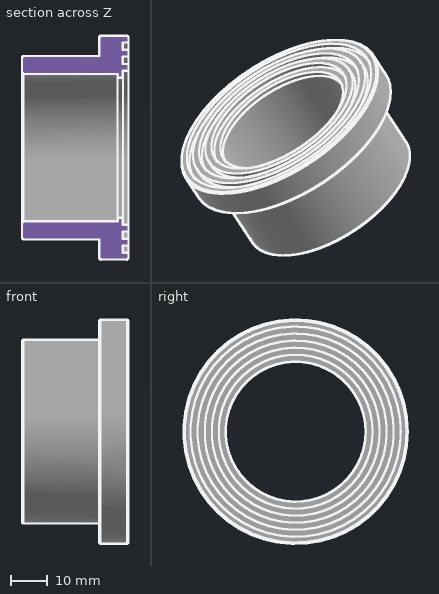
import cadquery as cq

total_length = 29.0
flange_thickness = 8.0
flange_diameter = 61.0
sleeve_diameter = 50.0
socket_diameter = 40.0
socket_depth = 26.0
opening_diameter = 38.0
edge_chamfer = 0.35
ring_count = 3
ring_depth = 1.5

sleeve_length = total_length - flange_thickness
ring_width = (flange_diameter - opening_diameter) / (4 * ring_count)


def cylinder(diameter, start, length):
    """Solid cylinder along X that begins at the given X position."""
    return cq.Workplane("YZ", origin=(start, 0, 0)).circle(diameter / 2).extrude(length)


flange = cylinder(flange_diameter, sleeve_length, flange_thickness).edges().chamfer(edge_chamfer)
sleeve = cylinder(sleeve_diameter, 0, sleeve_length).edges("<X").chamfer(edge_chamfer)
body = sleeve.union(flange)

body = body.cut(cylinder(opening_diameter, 0, total_length))
body = body.cut(cylinder(socket_diameter, 0, socket_depth))

body = body.faces("<X").edges(cq.selectors.RadiusNthSelector(0)).chamfer(edge_chamfer)

for ring in range(ring_count):
    inner_diameter = opening_diameter + 4 * ring * ring_width
    outer_diameter = inner_diameter + 2 * ring_width
    ring_floor = total_length - ring_depth
    recess = cylinder(outer_diameter, ring_floor, ring_depth)
    body = body.cut(recess.cut(cylinder(inner_diameter, ring_floor, ring_depth)))

result = body